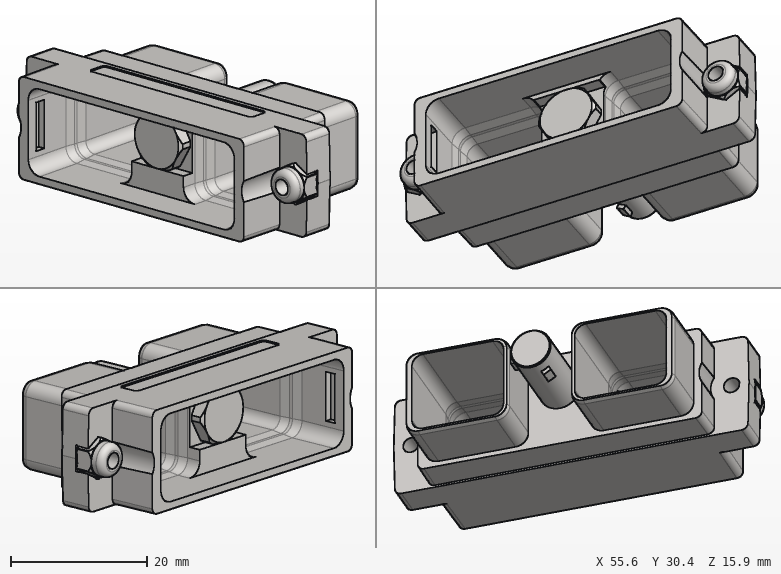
import cadquery as cq
import math


SHROUD_END = 7.7
FLANGE_END = 12.75
BODY_END = 17.75
TOWER_END = 26.65
ROD_END = 30.35
HALL_END = 5.75
CAVITY_END = 8.2
NUT_POCKET_END = 10.1

SHROUD_HEIGHT = 15.95
REAR_HEIGHT = 15.25
BODY_HALF_LENGTH = 22.3
BODY_DRAFT = 0.1
FLANGE_HALF_LENGTH = 27.75
FLANGE_DRAFT = 0.195
CORNER_RADIUS = 1.0

TOWER_INNER = 4.9
TOWER_OUTER = 20.9
TOWER_HEIGHT = 13.65
TOWER_RADIUS = 2.0
TOWER_RIM_LENGTH = 0.7
TOWER_RIM_INSET = 0.195
CAVITY_INNER = 5.1
CAVITY_OUTER = 20.3
CAVITY_HEIGHT = 13.55
CAVITY_RADIUS = 2.15
TAPER_LENGTH = 1.65
TAPER_INSET = 0.2
TAPER_GAP = 0.55

LATCH_FRONT = 1.8
LATCH_WIDTH = 1.7
LATCH_DEPTH = 1.1
LATCH_HEIGHT = 7.55

BOLT_Z = 1.5
RECESS_HEIGHT = 8.8
RECESS_LENGTH = 10.9
BOLT_HEAD_FRONT = 5.55
BOLT_FLATS = 8.6
BOLT_CORNERS = 9.5
ROD_RADIUS = 3.135
ROD_CHAMFER = 0.15
LUG_REACH = 3.8
LUG_WIDTH = 1.35
LUG_FRONT = 26.25
LUG_LENGTH = 2.1
LUG_ANGLES = (0, 240)

SCREW_X = 25.05
SCREW_FRONT = 5.15
SCREW_RADIUS = 2.65
SCREW_ROUND = 1.05
SCREW_HOLE_RADIUS = 1.2
SCREW_GROOVE_RADIUS = 3.3
NUT_FRONT = 7.1
NUT_LENGTH = 2.8
NUT_FLATS = 5.45
NUT_CORNERS = 6.2
NUT_FACE_RADIUS = 2.8
NUT_CHAMFER = 0.55
NUT_POCKET_X = 25.4
NUT_POCKET_FLATS = 5.65

PANEL_LENGTH = 32.1
PANEL_FRONT = 8.5
PANEL_WIDTH = 3.45
PANEL_DEPTH = 0.2
PANEL_RADIUS = 0.8


def plane_at(y, x=0, z=0):
    """Plane facing +Y, with local x along -X and local y along +Z."""
    return cq.Plane(origin=(x, y, z), xDir=(-1, 0, 0), normal=(0, 1, 0))


def rounded_bar(x_low, x_high, height, radius, y_start, y_end):
    """Block along Y, centred on Z = 0, with its four edges along Y rounded."""
    bar = cq.Workplane(plane_at(y_start, (x_low + x_high) / 2)).rect(x_high - x_low, height)
    return bar.extrude(y_end - y_start).edges("|Y").fillet(radius)


def cylinder(x, z, radius, y_start, y_end):
    return cq.Workplane(plane_at(y_start, x, z)).circle(radius).extrude(y_end - y_start)


def hexagon(x, z, flats, turn, y_start, y_end):
    """Hexagonal prism along Y. Turn 0 puts two corners along X, turn 90 along Z."""
    corners = flats / math.cos(math.pi / 6)
    prism = cq.Workplane(plane_at(y_start)).polygon(6, corners).extrude(y_end - y_start)
    return prism.rotate((0, 0, 0), (0, 1, 0), turn).translate((x, 0, z))


def body_part(height, y_wide, y_narrow):
    """Drafted, rounded box of the body between the flange and one of its end faces."""
    narrow = BODY_HALF_LENGTH - BODY_DRAFT
    outline = [
        (-BODY_HALF_LENGTH, y_wide),
        (BODY_HALF_LENGTH, y_wide),
        (narrow, y_narrow),
        (-narrow, y_narrow),
    ]
    block = cq.Workplane("XY").polyline(outline).close().extrude(height / 2, both=True)
    return block.faces("<X or >X").edges("<Z or >Z").fillet(CORNER_RADIUS)


def flange():
    """Plate between the screws, with ends drafted from mid height to top and bottom."""
    top = SHROUD_HEIGHT / 2
    end = FLANGE_HALF_LENGTH - FLANGE_DRAFT
    outline = [
        (end, top),
        (FLANGE_HALF_LENGTH, 0),
        (end, -top),
        (-end, -top),
        (-FLANGE_HALF_LENGTH, 0),
        (-end, top),
    ]
    plate = cq.Workplane(plane_at(SHROUD_END)).polyline(outline).close()
    plate = plate.extrude(FLANGE_END - SHROUD_END)
    return plate.edges("|Y").edges("<Z or >Z").fillet(CORNER_RADIUS)


def tower(side):
    x_low, x_high = sorted((side * TOWER_INNER, side * TOWER_OUTER))
    block = rounded_bar(x_low, x_high, TOWER_HEIGHT, TOWER_RADIUS, FLANGE_END, TOWER_END)
    return block.faces(">Y").chamfer(TOWER_RIM_LENGTH, TOWER_RIM_INSET)


def cavity_section(side, inset, y_start):
    """Outline of a tower cavity at y_start, drawn inwards by inset on all sides."""
    centre = side * (CAVITY_INNER + CAVITY_OUTER) / 2
    length = CAVITY_OUTER - CAVITY_INNER - 2 * inset
    height = CAVITY_HEIGHT - 2 * inset
    outline = cq.Sketch().rect(length, height).vertices().fillet(CAVITY_RADIUS - inset)
    return cq.Workplane(plane_at(y_start, centre)).placeSketch(outline)


def tapered_cavity(side, inset, y_start):
    """Stretch of a tower cavity that narrows from inset by one more taper inset."""
    draft = math.degrees(math.atan2(TAPER_INSET, TAPER_LENGTH))
    return cavity_section(side, inset, y_start).extrude(TAPER_LENGTH, taper=draft)


def tower_cavity(side):
    """Passage through a tower: straight, then narrowed in two tapers, then straight."""
    taper_1_end = CAVITY_END + TAPER_LENGTH
    taper_2_start = taper_1_end + TAPER_GAP
    taper_2_end = taper_2_start + TAPER_LENGTH
    passage = cavity_section(side, 0, 0).extrude(CAVITY_END)
    passage = passage.union(tapered_cavity(side, 0, CAVITY_END))
    passage = passage.union(cavity_section(side, TAPER_INSET, taper_1_end).extrude(TAPER_GAP))
    passage = passage.union(tapered_cavity(side, TAPER_INSET, taper_2_start))
    opening = cavity_section(side, 2 * TAPER_INSET, taper_2_end).extrude(TOWER_END - taper_2_end)
    return passage.union(opening)


def latch_slot(side):
    slot = cq.Workplane("XY").box(2 * LATCH_DEPTH, LATCH_WIDTH, LATCH_HEIGHT)
    return slot.translate((side * CAVITY_OUTER, LATCH_FRONT + LATCH_WIDTH / 2, 0))


def label_panel():
    top = SHROUD_HEIGHT / 2
    panel = cq.Workplane("XY").box(PANEL_LENGTH, PANEL_WIDTH, 2 * PANEL_DEPTH)
    panel = panel.edges("|Z").fillet(PANEL_RADIUS)
    return panel.translate((0, PANEL_FRONT + PANEL_WIDTH / 2, top))


def centre_bolt():
    """Hexagonal head in the recess between the towers, with a lugged rod at the rear."""
    head = hexagon(0, BOLT_Z, BOLT_FLATS, 0, BOLT_HEAD_FRONT, SHROUD_END)
    rounding = cylinder(0, BOLT_Z, BOLT_CORNERS / 2, BOLT_HEAD_FRONT, SHROUD_END)
    corner_chamfer = (BOLT_CORNERS - BOLT_FLATS) / 2
    head = head.intersect(rounding.faces("<Y").chamfer(corner_chamfer))
    rod = cylinder(0, BOLT_Z, ROD_RADIUS, SHROUD_END, ROD_END).faces(">Y").chamfer(ROD_CHAMFER)
    bolt = head.union(rod)
    for angle in LUG_ANGLES:
        lug = cq.Workplane("XY").box(LUG_REACH, LUG_LENGTH, LUG_WIDTH, centered=(False, False, True))
        lug = lug.rotate((0, 0, 0), (0, 1, 0), -angle)
        bolt = bolt.union(lug.translate((0, LUG_FRONT, BOLT_Z)))
    return bolt


def screw(side):
    """Hollow round-headed screw with a chamfered hexagonal nut seated in the flange."""
    x = side * SCREW_X
    head = cylinder(x, 0, SCREW_RADIUS, SCREW_FRONT, NUT_POCKET_END)
    head = head.faces("<Y").edges().fillet(SCREW_ROUND)
    nut_end = NUT_FRONT + NUT_LENGTH
    nut = hexagon(x, 0, NUT_FLATS, 90, NUT_FRONT, nut_end)
    corner_radius = NUT_CORNERS / 2
    rounding = cylinder(x, 0, corner_radius, NUT_FRONT, nut_end)
    rounding = rounding.faces("<Y").chamfer(NUT_CHAMFER, corner_radius - NUT_FACE_RADIUS)
    hole = cylinder(x, 0, SCREW_HOLE_RADIUS, SCREW_FRONT, NUT_POCKET_END)
    return head.union(nut.intersect(rounding)).cut(hole)


result = body_part(SHROUD_HEIGHT, SHROUD_END, 0)
result = result.union(body_part(REAR_HEIGHT, FLANGE_END, BODY_END))
for side in (-1, 1):
    result = result.cut(cylinder(side * SCREW_X, 0, SCREW_GROOVE_RADIUS, 0, BODY_END))
result = result.union(flange())
for side in (-1, 1):
    result = result.union(tower(side))

for side in (-1, 1):
    result = result.cut(tower_cavity(side))
hall_length = 2 * (CAVITY_INNER + CAVITY_RADIUS)
hall = cq.Workplane("XY").box(hall_length, HALL_END, CAVITY_HEIGHT, centered=(True, False, True))
result = result.cut(hall)
recess = cq.Workplane("XY").box(RECESS_LENGTH, SHROUD_END, RECESS_HEIGHT, centered=(True, False, True))
result = result.cut(recess.translate((0, 0, BOLT_Z)))
result = result.cut(label_panel())
for side in (-1, 1):
    result = result.cut(latch_slot(side))
    result = result.cut(hexagon(side * NUT_POCKET_X, 0, NUT_POCKET_FLATS, 90, SHROUD_END, NUT_POCKET_END))
    result = result.cut(cylinder(side * SCREW_X, 0, SCREW_HOLE_RADIUS, SHROUD_END, FLANGE_END))
result = result.union(centre_bolt())
for side in (-1, 1):
    result = result.union(screw(side))